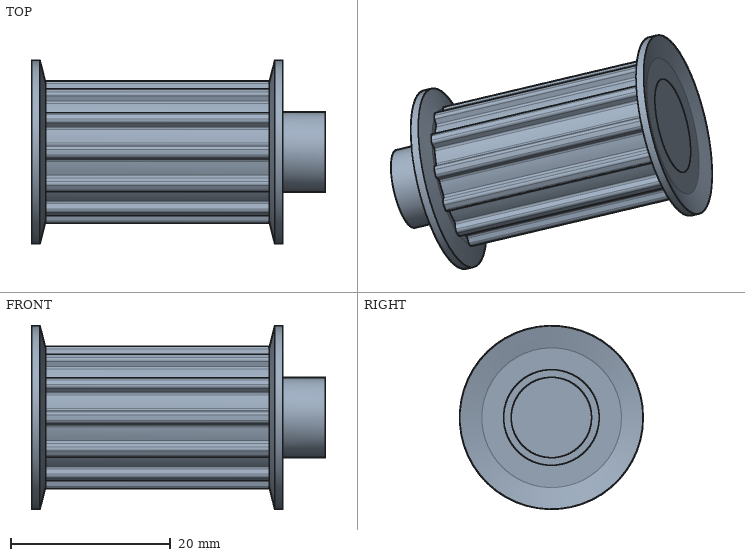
import cadquery as cq
import math

TOTAL_LENGTH = 36.75
TOOTHED_LENGTH = 28.0

FLANGE_RADIUS = 11.5
FLANGE_FLAT_RADIUS = 8.75
FLANGE_THICKNESS = 1.03
FLANGE_DISH = 0.7

JOURNAL_RADIUS = 6.0
HUB_RADIUS = 5.05

TOOTH_COUNT = 12
TIP_RADIUS = 8.93
ROOT_RADIUS = 7.8
TOOTH_TIP_WIDTH = 1.32
FLANK_ANGLE = 14.0
TIP_FILLET = 0.45
ROOT_FILLET = 0.33
RADIUS_TOLERANCE = 0.005

TOOTHED_START = FLANGE_DISH + FLANGE_THICKNESS
TOOTHED_END = TOOTHED_START + TOOTHED_LENGTH
FLANGES_END = TOOTHED_END + FLANGE_THICKNESS + FLANGE_DISH
RIGHT_FLAT_FACE = FLANGES_END - FLANGE_DISH


def cylinder(radius, start, end):
    """Solid cylinder on the X axis between two X positions."""
    return cq.Workplane("YZ", origin=(start, 0, 0)).circle(radius).extrude(end - start)


def make_tooth():
    """One tooth along +Z, widening from its rounded tip to a base sunk inside the barrel."""
    base_height = JOURNAL_RADIUS
    tip_half_width = TOOTH_TIP_WIDTH / 2
    tip_corner_height = math.sqrt(TIP_RADIUS**2 - tip_half_width**2)
    flank_widening = (tip_corner_height - base_height) * math.tan(math.radians(FLANK_ANGLE))
    base_half_width = tip_half_width + flank_widening
    return (
        cq.Workplane("YZ", origin=(TOOTHED_START, 0, 0))
        .moveTo(-base_half_width, base_height)
        .lineTo(base_half_width, base_height)
        .lineTo(tip_half_width, tip_corner_height)
        .threePointArc((0, TIP_RADIUS), (-tip_half_width, tip_corner_height))
        .close()
        .extrude(TOOTHED_LENGTH)
        .edges("|X")
        .edges(">Z")
        .fillet(TIP_FILLET)
    )


def is_root_corner(edge):
    """True for an edge along X that lies on the root circle."""
    center = edge.Center()
    return abs(math.hypot(center.y, center.z) - ROOT_RADIUS) < RADIUS_TOLERANCE


def make_toothed_barrel():
    """Barrel with evenly spaced teeth, rounded where the flanks meet the root circle."""
    barrel = cylinder(ROOT_RADIUS, TOOTHED_START, TOOTHED_END)
    tooth = make_tooth()
    for index in range(TOOTH_COUNT):
        angle = index * 360 / TOOTH_COUNT
        barrel = barrel.union(tooth.rotate((0, 0, 0), (1, 0, 0), angle))
    root_corners = [edge for edge in barrel.edges("|X").vals() if is_root_corner(edge)]
    return barrel.newObject(root_corners).fillet(ROOT_FILLET)


def make_core():
    """Toothed barrel with a journal through each flange and a plain hub on the right."""
    journals = cylinder(JOURNAL_RADIUS, FLANGE_DISH, RIGHT_FLAT_FACE)
    hub = cylinder(HUB_RADIUS, RIGHT_FLAT_FACE, TOTAL_LENGTH)
    return make_toothed_barrel().union(journals).union(hub)


def make_flange(rim_face, inward):
    """Dished ring with its rim at X = rim_face; inward (+1 or -1) points to the teeth along X."""
    flat_face = rim_face + inward * FLANGE_DISH
    thickness = inward * FLANGE_THICKNESS
    return (
        cq.Workplane("XY")
        .moveTo(flat_face, JOURNAL_RADIUS)
        .lineTo(flat_face, FLANGE_FLAT_RADIUS)
        .lineTo(rim_face, FLANGE_RADIUS)
        .lineTo(rim_face + thickness, FLANGE_RADIUS)
        .lineTo(flat_face + thickness, FLANGE_FLAT_RADIUS)
        .lineTo(flat_face + thickness, JOURNAL_RADIUS)
        .close()
        .revolve(360, (0, 0, 0), (1, 0, 0))
    )


core = make_core()
flanges = [make_flange(rim_face, inward) for rim_face, inward in ((0, 1), (FLANGES_END, -1))]

result = cq.Compound.makeCompound([core.val(), *[flange.val() for flange in flanges]])